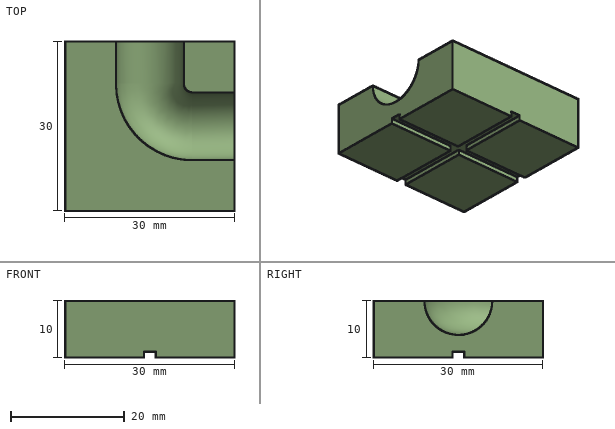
import cadquery as cq

side = 30.0
height = 10.0
middle = side / 2

channel_radius = 6.0
bend_radius = 7.5

slot_width = 2.0
slot_depth = 1.0


def make_block():
    return cq.Workplane("XY").box(side, side, height, centered=False)


def make_channel():
    """Round bar swept along the channel centreline, level with the top face."""
    bend_center = middle + bend_radius
    half_chord = bend_radius * 0.5 ** 0.5
    centreline = (
        cq.Workplane("XY", origin=(0, 0, height))
        .moveTo(middle, side)
        .lineTo(middle, bend_center)
        .threePointArc(
            (bend_center - half_chord, bend_center - half_chord),
            (bend_center, middle),
        )
        .lineTo(side, middle)
    )
    profile = cq.Workplane("XZ", origin=(middle, side, height)).circle(channel_radius)
    return profile.sweep(centreline)


def make_slots():
    """Two slots crossing at the middle, each running the full side length."""
    slots = cq.Workplane("XY")
    for length_x, length_y in ((slot_width, side), (side, slot_width)):
        slot = cq.Workplane("XY").box(length_x, length_y, slot_depth, centered=(True, True, False))
        slots = slots.add(slot.translate((middle, middle, 0)))
    return slots.combine()


result = make_block().cut(make_channel()).cut(make_slots())